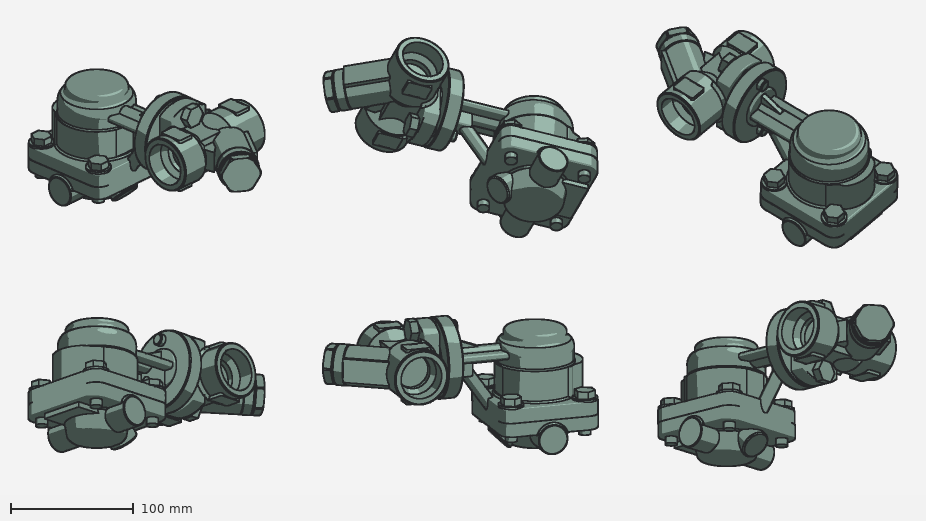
import cadquery as cq
import math

PIPE_Z = 49.0
OVERLAP = 2.3

PLATE_SIDE = 85.2
COVER_SHIFT = 0.5
CORNER_RADIUS = 10.5
PLATE_TOP = 12.2
PLATE_BOTTOM = -12.0
PLATE_EDGE_FILLET = 1.5
BOLT_OFFSET = 31.9
BOLT_PAD_TOP = 13.5
BOLT_DIAMETER = 10.0
PLATE_BOLT_FLATS = 15.0
PLATE_BOLT_HEAD = 6.0
PLATE_BOLT_END = -17.6

ROOT_FLARE = 1.5
BODY_RADIUS = 33.2
BODY_TOP = 39.0
SHOULDER_RADIUS = 33.0
BODY_SHOULDER = 1.5
BODY_FLAT_X = 31.7
LOBE_REACH = 39.8
LOBE_CORNER_START = (-34.4, 16.5)
LOBE_CORNER_MIDDLE = (-32.3, 18.5)
LOBE_CORNER_END = (-29.6, 20.0)
LOBE_HOLLOW_MIDDLE = (-25.8, 22.4)
LOBE_HOLLOW_END = (-22.8, 25.8)
LOBE_BLEND_MIDDLE = (-21.0, 27.0)
LOBE_BLEND_X = -19.0
DOME_RADIUS = 32.0
DOME_ARC_BASE = 49.5
DOME_ARC_MIDDLE = (31.7, 54.0)
DOME_SHOULDER_RADIUS = 29.6
DOME_SHOULDER_Z = 57.9
CROWN_RADIUS = 26.0
CROWN_BASE = 61.7
CROWN_ROOT = (27.1, 59.0)
CROWN_TOP = 67.5
CROWN_FILLET = 4.0

COVER_TOP_RADIUS = 27.5
COVER_BOTTOM_RADIUS = 23.7
COVER_BOTTOM = -29.6
COVER_FILLET = 4.5
DRAIN_DIAMETER = 25.0
DRAIN_LENGTH = 89.5
DRAIN_Z = -16.3
DRAIN_CHAMFER = 0.7
LEDGE_REACH = 39.8
LEDGE_HALF_WIDTH = 20.0
LEDGE_BOTTOM = -16.5
PLUG_BOSS_DIAMETER = 24.0
PLUG_BOSS_LENGTH = 20.4
PLUG_BOSS_CHAMFER = 1.1
PLUG_BOSS_X = 31.9
PLUG_BOSS_Z = -24.0

NECK_RADIUS = 7.2
WING_RADIUS = 3.2
WING_HALF_WIDTH = 16.0
RIB_START = 50.5
RIB_HEIGHT = 15.8
RIB_THICKNESS = 4.5
BLOCK_START = 55.6
BLOCK_TOP = 46.4
BLOCK_BOTTOM = 32.0
BLOCK_HALF_WIDTH = 6.8
BLOCK_FILLET = 1.8
TUBE_DIAMETER = 11.0
TUBE_UPPER_X = 63.3
TUBE_UPPER_Z = 40.0
TUBE_LENGTH = 47.5
TUBE_ANGLE = 54.6

HUB_DIAMETER = 35.0
HUB_START = 70.5
HUB_FILLET = 1.4
DISC_START = 73.3
DISC_END = 86.5
FLANGE_START = 89.3
FLANGE_END = 103.0
FLANGE_DIAMETER = 67.4
FLANGE_CHAMFER = 1.0
FLANGE_HALF_WIDTH = 20.5
VALVE_FLANGE_DIAMETER = 67.0
FLANGE_FILLET = 1.0
FLANGE_CORNER_FILLET = 2.3
FLANGE_BOLT_OFFSET = 25.5
FLANGE_BOLT_START = 68.3
FLANGE_BOLT_CHAMFER = 1.0
FLANGE_BOLT_FLATS = 16.7
FLANGE_BOLT_HEAD = 7.0

RUN_X = 116.7
RUN_DIAMETER = 46.0
RUN_FRONT = -42.7
RUN_BACK = 52.7
RUN_CHAMFER = 1.0
SOCKET_DIAMETER = 35.0
SOCKET_DEPTH = 13.5
SOCKET_TAPER_END = 19.0
BORE_DIAMETER = 28.0
BORE_DEPTH = 24.0
WAIST_START = 18.8
WAIST_END = 7.2
WAIST_RADIUS = 14.0
CORE_HALF_HEIGHT = 15.0
CORE_END = 129.3
WEB_REACH = 143.0
WEB_OUTLINE_Y = (6.8, -12.2, -16.7)
WEB_HALF_HEIGHT = 9.0
ROOT_RADIUS = 25.8
ROOT_LENGTH = 2.7
ROOT_END = 106.3
PAD_LENGTH = 15.4
PAD_WIDTH = 21.0
PAD_CORNER = 1.5
PAD_TOP = 23.3
PAD_CENTRES = (39.3, -28.5)

BRANCH_ANGLE = 35.0
BRANCH_END_X = 174.3
BRANCH_END_Y = -13.3
BRANCH_LENGTH = 61.0
BRANCH_RADIUS = 16.7
BRANCH_RIB_REACH = 17.2
BRANCH_RIB_HALF_HEIGHT = 10.0
BRANCH_RIB_LENGTH = 56.5
COLLAR_RADIUS = 17.0
COLLAR_CHAMFER = 0.7
COLLAR_LENGTH = 9.0
GASKET_RADIUS = 15.4
GASKET_LENGTH = 1.4
CAP_FLATS = 30.0
CAP_LENGTH = 7.0
CAP_TURNED_RADIUS = 17.0
CAP_CHAMFER = 1.1


def cylinder(start, direction, radius, length):
    """A solid cylinder from a start point along a direction."""
    return cq.Workplane(obj=cq.Solid.makeCylinder(radius, length, cq.Vector(*start), cq.Vector(*direction)))


def cone(start, direction, start_radius, end_radius, length):
    """A solid cone frustum from a start point along a direction."""
    frustum = cq.Solid.makeCone(start_radius, end_radius, length, cq.Vector(*start), cq.Vector(*direction))
    return cq.Workplane(obj=frustum)


def x_cylinder(start_x, end_x, diameter, y=0.0, z=PIPE_Z):
    return cylinder((start_x, y, z), (1, 0, 0), diameter / 2, end_x - start_x)


def box(x_range, y_range, z_range):
    """A box between two limits on each axis."""
    low, high = zip(x_range, y_range, z_range)
    size = [top - bottom for bottom, top in zip(low, high)]
    return cq.Workplane("XY").box(*size, centered=False).translate(low)


def hexagon_diameter(across_flats):
    return across_flats / math.cos(math.pi / 6)


def make_plate(side, bottom, top, outer_face):
    """A square plate with round corners and a rounded rim on its outer face."""
    plate = box((-side / 2, side / 2), (-side / 2, side / 2), (bottom, top))
    plate = plate.edges("|Z").fillet(CORNER_RADIUS)
    return plate.faces(outer_face).edges().fillet(PLATE_EDGE_FILLET)


def make_plate_bolts():
    """The four corner bolts with the raised pads under their heads."""
    bolts = cq.Workplane("XY")
    for x in (-BOLT_OFFSET, BOLT_OFFSET):
        for y in (-BOLT_OFFSET, BOLT_OFFSET):
            pad = cylinder((x, y, 0), (0, 0, 1), CORNER_RADIUS, BOLT_PAD_TOP)
            shank = cylinder((x, y, PLATE_BOLT_END), (0, 0, 1), BOLT_DIAMETER / 2, -PLATE_BOLT_END)
            head = cq.Workplane("XY").polygon(6, hexagon_diameter(PLATE_BOLT_FLATS)).extrude(PLATE_BOLT_HEAD)
            head = head.rotate((0, 0, 0), (0, 0, 1), 90).translate((x, y, BOLT_PAD_TOP))
            bolts = bolts.union(pad).union(shank).union(head)
    return bolts


def make_trap_body():
    """The body on its plate, with a lobe on the side away from the neck."""
    blend_end = (LOBE_BLEND_X, math.sqrt(BODY_RADIUS**2 - LOBE_BLEND_X**2))
    flat_start = (BODY_FLAT_X, math.sqrt(BODY_RADIUS**2 - BODY_FLAT_X**2))

    def mirrored(point):
        return (point[0], -point[1])

    outline = (
        cq.Workplane("XY", origin=(0, 0, PLATE_TOP))
        .moveTo(*mirrored(LOBE_CORNER_START))
        .threePointArc((-LOBE_REACH, 0), LOBE_CORNER_START)
        .threePointArc(LOBE_CORNER_MIDDLE, LOBE_CORNER_END)
        .threePointArc(LOBE_HOLLOW_MIDDLE, LOBE_HOLLOW_END)
        .threePointArc(LOBE_BLEND_MIDDLE, blend_end)
        .threePointArc((0, BODY_RADIUS), flat_start)
        .lineTo(*mirrored(flat_start))
        .threePointArc((0, -BODY_RADIUS), mirrored(blend_end))
        .threePointArc(mirrored(LOBE_BLEND_MIDDLE), mirrored(LOBE_HOLLOW_END))
        .threePointArc(mirrored(LOBE_HOLLOW_MIDDLE), mirrored(LOBE_CORNER_END))
        .threePointArc(mirrored(LOBE_CORNER_MIDDLE), mirrored(LOBE_CORNER_START))
        .close()
    )
    body = outline.extrude(BODY_TOP - PLATE_TOP)
    body = body.union(cone((0, 0, BODY_TOP), (0, 0, 1), SHOULDER_RADIUS, DOME_RADIUS, BODY_SHOULDER))
    body = body.union(cone((0, 0, PLATE_TOP), (0, 0, 1), BODY_RADIUS + ROOT_FLARE, BODY_RADIUS, ROOT_FLARE))
    return body.union(make_plate(PLATE_SIDE, 0, PLATE_TOP, ">Z"))


def make_dome():
    crown_arc = CROWN_FILLET * (1 - math.sqrt(0.5))
    crown_middle = (CROWN_RADIUS - crown_arc, CROWN_TOP - crown_arc)
    profile = (
        cq.Workplane("XZ")
        .lineTo(DOME_RADIUS, 0)
        .lineTo(DOME_RADIUS, DOME_ARC_BASE)
        .threePointArc(DOME_ARC_MIDDLE, (DOME_SHOULDER_RADIUS, DOME_SHOULDER_Z))
        .threePointArc(CROWN_ROOT, (CROWN_RADIUS, CROWN_BASE))
        .lineTo(CROWN_RADIUS, CROWN_TOP - CROWN_FILLET)
        .threePointArc(crown_middle, (CROWN_RADIUS - CROWN_FILLET, CROWN_TOP))
        .lineTo(0, CROWN_TOP)
        .close()
    )
    return profile.revolve(360, (0, 0, 0), (0, 1, 0))


def make_cover():
    cover = (
        cq.Workplane("XY", origin=(0, 0, PLATE_BOTTOM + OVERLAP))
        .circle(COVER_TOP_RADIUS)
        .workplane(offset=COVER_BOTTOM - PLATE_BOTTOM - OVERLAP)
        .circle(COVER_BOTTOM_RADIUS)
        .loft(ruled=True)
    )
    cover = cover.faces("<Z").edges().fillet(COVER_FILLET)
    flare_radius = COVER_TOP_RADIUS + ROOT_FLARE
    cover = cover.union(
        cone((0, 0, PLATE_BOTTOM), (0, 0, -1), flare_radius, flare_radius - 2 * ROOT_FLARE, ROOT_FLARE)
    )
    drain = cylinder((0, -DRAIN_LENGTH / 2, DRAIN_Z), (0, 1, 0), DRAIN_DIAMETER / 2, DRAIN_LENGTH)
    drain = drain.edges().chamfer(DRAIN_CHAMFER)
    plate_zone = box((-PLATE_SIDE, PLATE_SIDE), (-PLATE_SIDE, PLATE_SIDE), (PLATE_BOTTOM, 0))
    for side in (-1, 1):
        start = (0, side * PLATE_SIDE / 2, DRAIN_Z)
        drain_radius = DRAIN_DIAMETER / 2
        flare = cone(start, (0, side, 0), drain_radius + ROOT_FLARE, drain_radius, ROOT_FLARE)
        drain = drain.union(flare.intersect(plate_zone))
    ledge = box((-LEDGE_REACH, 0), (-LEDGE_HALF_WIDTH, LEDGE_HALF_WIDTH), (LEDGE_BOTTOM, PLATE_BOTTOM + OVERLAP))
    plug_boss = cylinder((PLUG_BOSS_X, 0, PLUG_BOSS_Z), (-1, 0, 1), PLUG_BOSS_DIAMETER / 2, PLUG_BOSS_LENGTH)
    plug_boss = plug_boss.faces("<Z").edges().chamfer(PLUG_BOSS_CHAMFER)
    cover = cover.union(make_plate(PLATE_SIDE, PLATE_BOTTOM, 0, "<Z"))
    cover = cover.union(drain).union(ledge).union(plug_boss)
    return cover.translate((0, COVER_SHIFT, 0))


def make_neck():
    neck = x_cylinder(0, DISC_START, 2 * NECK_RADIUS)
    wing_y = WING_HALF_WIDTH - WING_RADIUS
    web_z = (PIPE_Z - WING_RADIUS, PIPE_Z + WING_RADIUS)
    neck = neck.union(box((0, DISC_START), (-wing_y, wing_y), web_z))
    for y in (-wing_y, wing_y):
        neck = neck.union(x_cylinder(0, DISC_START, 2 * WING_RADIUS, y))
    rib = (
        cq.Workplane("XZ", origin=(0, 0, PIPE_Z))
        .moveTo(RIB_START, 0)
        .lineTo(RIB_START, NECK_RADIUS)
        .lineTo(DISC_START, RIB_HEIGHT)
        .lineTo(DISC_START, 0)
        .close()
        .extrude(RIB_THICKNESS / 2, both=True)
    )
    block = box((BLOCK_START, DISC_START), (-BLOCK_HALF_WIDTH, BLOCK_HALF_WIDTH), (BLOCK_BOTTOM, BLOCK_TOP))
    block = block.faces("<X or <Z").edges("not >X").fillet(BLOCK_FILLET)
    slope = math.radians(TUBE_ANGLE)
    tube_direction = (-math.cos(slope), 0, -math.sin(slope))
    tube = cylinder((TUBE_UPPER_X, 0, TUBE_UPPER_Z), tube_direction, TUBE_DIAMETER / 2, TUBE_LENGTH)
    return neck.union(rib).union(block).union(tube)


def make_flanges():
    disc = x_cylinder(DISC_START, DISC_END, FLANGE_DIAMETER).edges().chamfer(FLANGE_CHAMFER)
    flange = x_cylinder(FLANGE_START, FLANGE_END, VALVE_FLANGE_DIAMETER)
    flange_y = (-FLANGE_HALF_WIDTH, FLANGE_HALF_WIDTH)
    flange_z = (PIPE_Z - VALVE_FLANGE_DIAMETER, PIPE_Z + VALVE_FLANGE_DIAMETER)
    flange = flange.intersect(box((FLANGE_START, FLANGE_END), flange_y, flange_z))
    flange = flange.edges("|X").fillet(FLANGE_CORNER_FILLET)
    flange = flange.faces("<X or >X").edges().fillet(FLANGE_FILLET)
    hub = x_cylinder(HUB_START, FLANGE_END, HUB_DIAMETER).faces("<X").edges().fillet(HUB_FILLET)
    flanges = disc.union(flange).union(hub)
    for offset in (-FLANGE_BOLT_OFFSET, FLANGE_BOLT_OFFSET):
        z = PIPE_Z + offset
        shank = x_cylinder(FLANGE_BOLT_START, FLANGE_END, BOLT_DIAMETER, z=z)
        shank = shank.faces("<X").edges().chamfer(FLANGE_BOLT_CHAMFER)
        head = (
            cq.Workplane("YZ", origin=(FLANGE_END, 0, z))
            .polygon(6, hexagon_diameter(FLANGE_BOLT_FLATS))
            .extrude(FLANGE_BOLT_HEAD)
        )
        flanges = flanges.union(shank).union(head)
    return flanges


def make_run():
    run_radius = RUN_DIAMETER / 2
    core_z = (PIPE_Z - CORE_HALF_HEIGHT, PIPE_Z + CORE_HALF_HEIGHT)
    run = box((FLANGE_END - OVERLAP, CORE_END), (-WAIST_START, WAIST_START), core_z)
    root_region = box((FLANGE_START + OVERLAP, ROOT_END), (-RUN_DIAMETER, RUN_DIAMETER), (0, 2 * PIPE_Z))
    for side, end in ((-1, RUN_FRONT), (1, RUN_BACK)):
        pipe = cylinder((RUN_X, side * WAIST_START, PIPE_Z), (0, side, 0), run_radius, abs(end) - WAIST_START)
        outer_edge = pipe.faces("<Y" if side < 0 else ">Y").edges()
        pipe = outer_edge.chamfer(RUN_CHAMFER)
        waist_start = (RUN_X, side * WAIST_START, PIPE_Z)
        waist = cone(waist_start, (0, -side, 0), run_radius, WAIST_RADIUS, WAIST_START - WAIST_END)
        root_start = (RUN_X, side * FLANGE_HALF_WIDTH, PIPE_Z)
        root = cone(root_start, (0, side, 0), ROOT_RADIUS, run_radius, ROOT_LENGTH).intersect(root_region)
        run = run.union(pipe).union(waist).union(root)
    web_top_y, web_tip_y, web_foot_y = WEB_OUTLINE_Y
    web_points = [(RUN_X, web_top_y), (CORE_END, web_top_y), (WEB_REACH, web_tip_y), (RUN_X, web_foot_y)]
    web = cq.Workplane("XY", origin=(0, 0, PIPE_Z)).polyline(web_points).close()
    run = run.union(web.extrude(WEB_HALF_HEIGHT, both=True))
    for y in PAD_CENTRES:
        pad = cq.Workplane("XY", origin=(RUN_X, y, PIPE_Z)).rect(PAD_WIDTH, PAD_LENGTH)
        pad = pad.extrude(PAD_TOP, both=True)
        run = run.union(pad.edges("|Z").fillet(PAD_CORNER))
    return run


def cut_run_ends(part):
    """Bore a socket in each end of the run, tapering to a blind inner bore."""
    for end, inward in ((RUN_FRONT, 1), (RUN_BACK, -1)):
        mouth = (RUN_X, end, PIPE_Z)
        part = part.cut(cylinder(mouth, (0, inward, 0), SOCKET_DIAMETER / 2, SOCKET_DEPTH))
        part = part.cut(cylinder(mouth, (0, inward, 0), BORE_DIAMETER / 2, BORE_DEPTH))
        taper_start = (RUN_X, end + inward * SOCKET_DEPTH, PIPE_Z)
        taper_length = SOCKET_TAPER_END - SOCKET_DEPTH
        part = part.cut(
            cone(taper_start, (0, inward, 0), SOCKET_DIAMETER / 2, BORE_DIAMETER / 2, taper_length)
        )
    return part


def make_branch():
    """The branch, built along X with its cap face at X = 0, then turned into place."""
    cap_back = -CAP_LENGTH
    collar_end = cap_back - GASKET_LENGTH
    collar_start = collar_end - COLLAR_LENGTH
    branch = x_cylinder(-BRANCH_LENGTH, collar_start, 2 * BRANCH_RADIUS, z=0)
    rib_z = (-BRANCH_RIB_HALF_HEIGHT, BRANCH_RIB_HALF_HEIGHT)
    branch = branch.union(box((-BRANCH_RIB_LENGTH, collar_start), (0, BRANCH_RIB_REACH), rib_z))
    collar = x_cylinder(collar_start, collar_end, 2 * COLLAR_RADIUS, z=0).edges().chamfer(COLLAR_CHAMFER)
    branch = branch.union(collar)
    branch = branch.union(x_cylinder(collar_end, cap_back, 2 * GASKET_RADIUS, z=0))
    cap = cq.Workplane("YZ", origin=(cap_back, 0, 0)).polygon(6, hexagon_diameter(CAP_FLATS))
    cap = cap.extrude(CAP_LENGTH)
    turned = x_cylinder(cap_back, 0, 2 * CAP_TURNED_RADIUS, z=0).faces(">X").edges().chamfer(CAP_CHAMFER)
    branch = branch.union(cap.intersect(turned))
    branch = branch.rotate((0, 0, 0), (0, 0, 1), -BRANCH_ANGLE)
    return branch.translate((BRANCH_END_X, BRANCH_END_Y, PIPE_Z))


trap = make_trap_body().union(make_plate_bolts()).union(make_dome()).union(make_cover())
valve = make_run().union(make_branch())
result = cut_run_ends(trap.union(make_neck()).union(make_flanges()).union(valve))